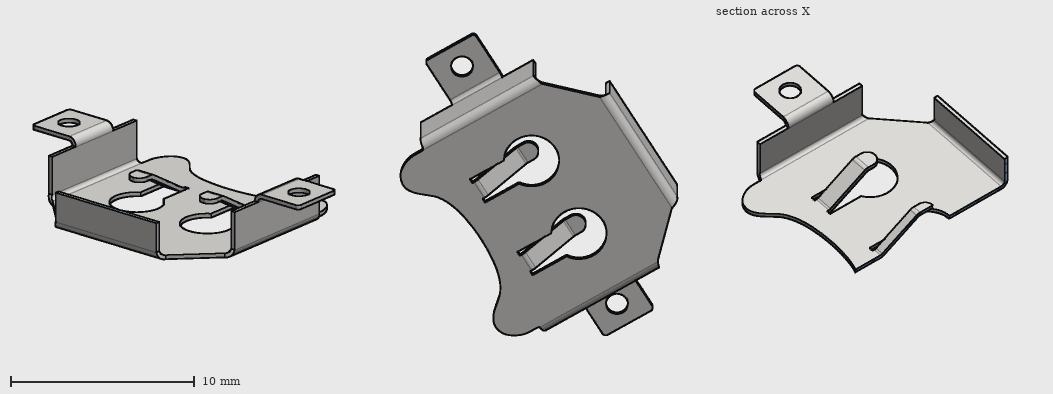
import cadquery as cq
import math


sheet = 0.25
bend_inner = 0.24
bend_outer = bend_inner + sheet

overall_width = 18.93
overall_height = 3.18
seat_radius = 6.60
bend_line = seat_radius - bend_outer

wall_half_width = 3.575
front_wall_height = 2.19
side_wall_height = overall_height - bend_outer
corner_taper = 0.245
back_taper = 0.11

tab_half_width = 1.58
tab_corner_radius = 0.2
tab_hole_diameter = 1.19
tab_hole_from_end = 1.3

lobe_side = 6.08
shoulder_y = 3.79
lobe_flank = [(6.04, 4.60), (5.80, 5.16), (5.45, 5.54)]
lobe_tip = (4.86, 5.72)
recess_flank = [(4.25, 5.48), (3.39, 4.56), (2.56, 4.09), (1.40, 3.82)]
recess_bottom = 3.73

keyhole_x = 2.5
keyhole_y = -1.0
keyhole_radius = 1.5
slot_width = 1.6
slot_top = 2.43
tongue_width = 1.08
tongue_root = 2.32
tongue_slope_end = -0.2
tongue_tip = -1.34
tongue_angle = 31
tip_rounding = 0.49 * tongue_width


def base_plate():
    corner = wall_half_width + corner_taper
    side_end = wall_half_width + back_taper
    along_y = (0, 1)
    inward = (-1, 0)
    half = (
        cq.Workplane("XY")
        .moveTo(0, -bend_line)
        .lineTo(corner, -bend_line)
        .lineTo(bend_line, -corner)
        .lineTo(bend_line, side_end)
        .lineTo(lobe_side, shoulder_y)
        .spline(
            lobe_flank + [lobe_tip],
            tangents=[along_y, inward],
            scale=False,
            includeCurrent=True,
        )
        .spline(
            recess_flank + [(0, recess_bottom)],
            tangents=[inward, inward],
            scale=False,
            includeCurrent=True,
        )
        .close()
        .extrude(sheet)
    )
    return half.union(half.mirror("YZ"))


def keyhole(x):
    """Cutter for one round opening with a slot running back from it."""
    slot = cq.Workplane("XY").rect(slot_width, slot_top - keyhole_y).extrude(sheet)
    slot = slot.translate((0, (slot_top + keyhole_y) / 2, 0))
    hole = cq.Workplane("XY").center(0, keyhole_y).circle(keyhole_radius).extrude(sheet)
    return hole.union(slot).translate((x, 0, 0))


def tongue(x):
    """Strip that rises from the slot top towards -Y and levels out at a rounded tip."""
    angle = math.radians(tongue_angle)
    half = angle / 2
    root_z = sheet + bend_inner
    slope_y = tongue_root - bend_inner * math.sin(angle)
    slope_z = root_z - bend_inner * math.cos(angle)
    crest_y = tongue_slope_end
    crest_z = slope_z + (slope_y - crest_y) * math.tan(angle)
    tip_axis_y = crest_y - bend_outer * math.sin(angle)
    tip_axis_z = crest_z - bend_outer * math.cos(angle)

    def root_point(radius, turn):
        return tongue_root - radius * math.sin(turn), root_z - radius * math.cos(turn)

    def tip_point(radius, turn):
        return tip_axis_y + radius * math.sin(turn), tip_axis_z + radius * math.cos(turn)

    strip = (
        cq.Workplane("YZ")
        .moveTo(slot_top, sheet)
        .lineTo(tongue_root, sheet)
        .threePointArc(root_point(bend_inner, half), root_point(bend_inner, angle))
        .lineTo(*tip_point(bend_outer, angle))
        .threePointArc(tip_point(bend_outer, half), tip_point(bend_outer, 0))
        .lineTo(tongue_tip, tip_axis_z + bend_outer)
        .lineTo(tongue_tip, tip_axis_z + bend_inner)
        .lineTo(*tip_point(bend_inner, 0))
        .threePointArc(tip_point(bend_inner, half), tip_point(bend_inner, angle))
        .lineTo(*root_point(bend_outer, angle))
        .threePointArc(root_point(bend_outer, half), root_point(bend_outer, 0))
        .lineTo(slot_top, 0)
        .close()
        .extrude(tongue_width / 2, both=True)
    )
    tip_edges = strip.faces("<Y").edges("|Z")
    return tip_edges.fillet(tip_rounding).translate((x, 0, 0))


def quarter_bend(low_y, high_y):
    """Upward bend from the base at +X, along Y between two ends."""
    diagonal = math.sqrt(0.5)
    return (
        cq.Workplane("XZ", origin=(bend_line, high_y, bend_outer))
        .moveTo(0, -bend_outer)
        .threePointArc((bend_outer * diagonal, -bend_outer * diagonal), (bend_outer, 0))
        .lineTo(bend_inner, 0)
        .threePointArc((bend_inner * diagonal, -bend_inner * diagonal), (0, -bend_inner))
        .close()
        .extrude(high_y - low_y)
    )


def taper_cutter(taper):
    """Twisted block that trims the -Y end of a bend from its wall width to its base width."""
    reach = 2 * bend_outer
    return (
        cq.Workplane("XZ", origin=(bend_line, -wall_half_width, bend_outer))
        .moveTo(-reach, 0)
        .lineTo(reach, 0)
        .lineTo(reach, reach)
        .lineTo(-reach, reach)
        .close()
        .twistExtrude(taper, -90)
    )


def tapered_bend(low_taper, high_taper):
    bend = quarter_bend(-wall_half_width - low_taper, wall_half_width + high_taper)
    return bend.cut(taper_cutter(low_taper)).cut(taper_cutter(high_taper).mirror("XZ"))


def wall(height):
    rise = height - bend_outer
    flat = cq.Workplane("XY").box(sheet, 2 * wall_half_width, rise, centered=(False, True, False))
    return flat.translate((seat_radius - sheet, 0, bend_outer))


def solder_tab():
    wall_inner = seat_radius - sheet
    tab_start = wall_inner + bend_outer
    tab_end = overall_width / 2
    bend = quarter_bend(-tab_half_width, tab_half_width)
    bend = bend.rotate((bend_line, 0, bend_outer), (bend_line, 1, bend_outer), 180)
    bend = bend.translate((tab_start - bend_line, 0, side_wall_height - bend_outer))
    flat = (
        cq.Workplane("XY")
        .box(tab_end - tab_start, 2 * tab_half_width, sheet, centered=(False, True, False))
        .translate((tab_start, 0, overall_height - sheet))
    )
    flat = flat.faces(">X").edges("|Z").fillet(tab_corner_radius)
    hole = (
        cq.Workplane("XY", origin=(tab_end - tab_hole_from_end, 0, overall_height - sheet))
        .circle(tab_hole_diameter / 2)
        .extrude(sheet)
    )
    return bend.union(flat.cut(hole))


def side_flange():
    return tapered_bend(corner_taper, back_taper).union(wall(side_wall_height)).union(solder_tab())


def front_flange():
    flange = tapered_bend(corner_taper, corner_taper).union(wall(front_wall_height))
    return flange.rotate((0, 0, 0), (0, 0, 1), -90)


result = base_plate()
for side in (-1, 1):
    result = result.cut(keyhole(side * keyhole_x)).union(tongue(side * keyhole_x))
right_flange = side_flange()
result = result.union(right_flange).union(right_flange.mirror("YZ")).union(front_flange())